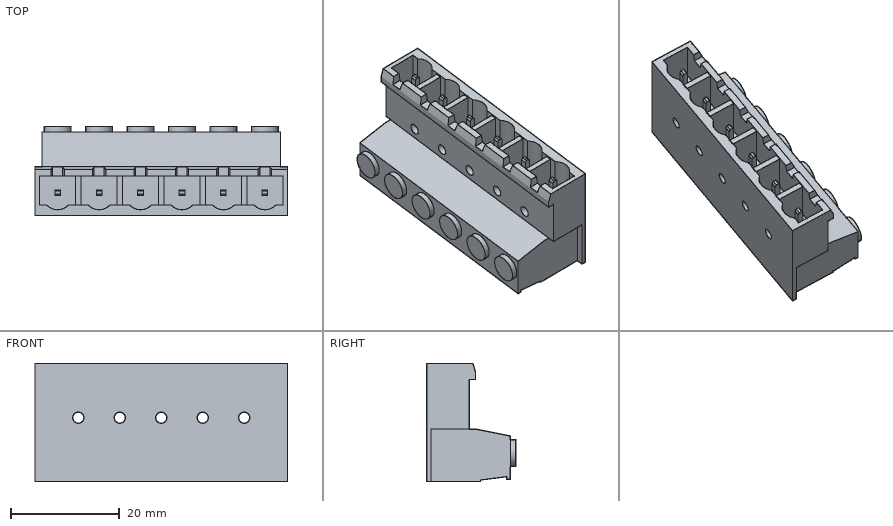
import cadquery as cq


contact_count = 6
pitch = 7.6

width = 46.45
height = 21.75
plate_thickness = 0.85
housing_depth = 7.85

lip_bottom = 18.75
lip_slope_start = 20.1
lip_depth = 9.0
lip_top_depth = 8.5

block_inset = 1.3
block_width = width - 2 * block_inset
block_top = 9.65
block_slope_start = 9.1
block_rear = 15.4
block_rear_top = 8.4
block_foot_front = 14.7
block_foot_bottom = 0.4
underside_rear_height = 0.9
underside_front_height = 0.3
underside_slope_start = 9.95

screw_diameter = 4.95
screw_height = 1.0
screw_z = 5.25

pocket_width = 6.6
pocket_front = 1.95
pocket_rear = 7.25
pocket_floor = 13.0
bulge_width = 4.0
bulge_depth = 0.9
divider_drop = 0.3

notch_top_width = 2.45
notch_bottom_width = 1.85
notch_depth = 1.5

pin_size = 1.0
pin_y = 4.25
pin_tip_z = 20.15
pin_tip_flat = 0.5
pin_taper_height = 0.45

hole_diameter = 2.0
hole_z = 11.75


def row_positions(count):
    """X positions of a centred row with the contact pitch."""
    return [(index - (count - 1) / 2) * pitch for index in range(count)]


def side_extrusion(points, length):
    """Extrude a (y, z) outline along X, centred on x = 0."""
    return cq.Workplane("YZ").polyline(points).close().extrude(length / 2, both=True)


def along_y(start_y, x_positions, z, diameter, length):
    """Row of cylinders pointing towards +Y."""
    plane = cq.Workplane("XZ", origin=(0, start_y, 0))
    return plane.pushPoints([(x, z) for x in x_positions]).circle(diameter / 2).extrude(-length)


def make_housing():
    outline = [
        (0, 0),
        (plate_thickness, 0),
        (plate_thickness, block_top),
        (housing_depth, block_top),
        (housing_depth, lip_bottom),
        (lip_depth, lip_bottom),
        (lip_depth, lip_slope_start),
        (lip_top_depth, height),
        (0, height),
    ]
    return side_extrusion(outline, width)


def make_terminal_block():
    outline = [
        (plate_thickness, 0),
        (underside_slope_start, 0),
        (underside_slope_start, underside_front_height),
        (block_foot_front, underside_rear_height),
        (block_foot_front, block_foot_bottom),
        (block_rear, block_foot_bottom),
        (block_rear, block_rear_top),
        (block_slope_start, block_top),
        (plate_thickness, block_top),
    ]
    return side_extrusion(outline, block_width)


def make_pocket(x):
    """Rectangular pocket whose front wall bulges forward in an arc."""
    return (
        cq.Workplane("XY", origin=(x, 0, pocket_floor))
        .moveTo(-pocket_width / 2, pocket_rear)
        .lineTo(-pocket_width / 2, pocket_front)
        .lineTo(-bulge_width / 2, pocket_front)
        .threePointArc((0, pocket_front - bulge_depth), (bulge_width / 2, pocket_front))
        .lineTo(pocket_width / 2, pocket_front)
        .lineTo(pocket_width / 2, pocket_rear)
        .close()
        .extrude(height - pocket_floor)
    )


def make_notch(x):
    """Tapered notch from the pocket out through the latch lip."""
    notch_bottom = height - notch_depth
    outline = [
        (-notch_top_width / 2, height),
        (-notch_bottom_width / 2, notch_bottom),
        (notch_bottom_width / 2, notch_bottom),
        (notch_top_width / 2, height),
    ]
    plane = cq.Workplane("XZ", origin=(x, pocket_rear, 0))
    return plane.polyline(outline).close().extrude(pocket_rear - lip_depth)


def make_divider_trim(x):
    """Space that lowers the wall between two pockets below the rim."""
    length = pocket_rear - pocket_front
    divider_thickness = pitch - pocket_width
    plane = cq.Workplane("XY", origin=(x, pocket_front + length / 2, height - divider_drop))
    return plane.rect(divider_thickness, length).extrude(divider_drop)


def make_pin(x):
    """Square pin with its tip bevelled at the front and rear."""
    shoulder = pin_tip_z - pin_taper_height
    outline = [
        (pin_y - pin_size / 2, pocket_floor),
        (pin_y + pin_size / 2, pocket_floor),
        (pin_y + pin_size / 2, shoulder),
        (pin_y + pin_tip_flat / 2, pin_tip_z),
        (pin_y - pin_tip_flat / 2, pin_tip_z),
        (pin_y - pin_size / 2, shoulder),
    ]
    return side_extrusion(outline, pin_size).translate((x, 0, 0))


contact_xs = row_positions(contact_count)
divider_xs = row_positions(contact_count - 1)

result = make_housing().union(make_terminal_block())
result = result.union(along_y(block_rear, contact_xs, screw_z, screw_diameter, screw_height))

for contact_x in contact_xs:
    result = result.cut(make_pocket(contact_x))
    result = result.cut(make_notch(contact_x))
    result = result.union(make_pin(contact_x))

for divider_x in divider_xs:
    result = result.cut(make_divider_trim(divider_x))

result = result.cut(along_y(0, divider_xs, hole_z, hole_diameter, housing_depth))